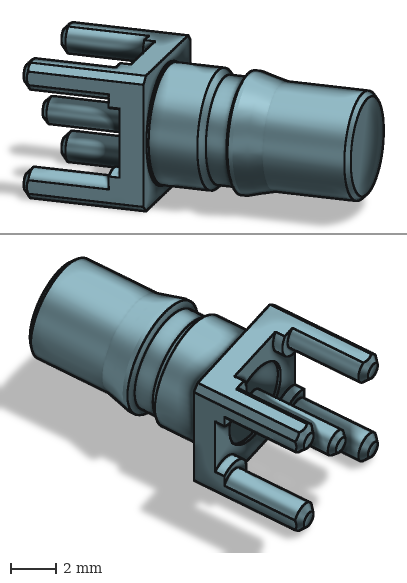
import cadquery as cq

length = 15.06
flange_side = 6.35
corner_chamfer = 0.32
pad_start = 4.07
flange_start = 4.56
flange_end = 5.7

leg_offset = 2.55
leg_diameter = 1.42
leg_tip_diameter = 0.78
leg_tip_length = 0.3
pad_diameter = 2.25
centre_pin_diameter = 1.27
centre_pin_tip_diameter = 0.77
centre_pin_tip_length = 0.27

recess_diameter = 4.07
recess_depth = 0.15

flare_diameter = 5.57
flare_length = 0.09
shoulder_diameter = 5.48
shoulder_end = 8.05
neck_diameter = 4.92
neck_start = 8.36
neck_end = 9.32
ridge_diameter = 5.57
ridge_crest_start = 9.49
ridge_crest_end = 9.73
ridge_end = 11.02
end_chamfer = 0.23


def cylinder_x(diameter, start, end, y=0, z=0):
    """Cylinder parallel to X between two X positions."""
    return (
        cq.Workplane("YZ", origin=(start, y, z))
        .circle(diameter / 2)
        .extrude(end - start)
    )


def pin(diameter, tip_diameter, tip_length, end, y=0, z=0):
    """Pin from X = 0 with a conical tip."""
    profile = [
        (0, 0),
        (0, tip_diameter / 2),
        (tip_length, diameter / 2),
        (end, diameter / 2),
        (end, 0),
    ]
    return (
        cq.Workplane("XY").polyline(profile).close()
        .revolve(360, (0, 0), (1, 0))
        .translate((0, y, z))
    )


def square_bar(start, end):
    """Square section with chamfered long edges."""
    return (
        cq.Workplane("YZ", origin=(start, 0, 0))
        .rect(flange_side, flange_side)
        .extrude(end - start)
        .edges("|X")
        .chamfer(corner_chamfer)
    )


def barrel():
    """Turned body from the flange to the mating end."""
    profile = [
        (flange_end, 0),
        (flange_end, flare_diameter / 2),
        (flange_end + flare_length, shoulder_diameter / 2),
        (shoulder_end, shoulder_diameter / 2),
        (neck_start, neck_diameter / 2),
        (neck_end, neck_diameter / 2),
        (ridge_crest_start, ridge_diameter / 2),
        (ridge_crest_end, ridge_diameter / 2),
        (ridge_end, neck_diameter / 2),
        (length - end_chamfer, neck_diameter / 2),
        (length, neck_diameter / 2 - end_chamfer),
        (length, 0),
    ]
    return cq.Workplane("XY").polyline(profile).close().revolve(360, (0, 0), (1, 0))


flange = square_bar(flange_start, flange_end)
envelope = square_bar(0, flange_end)
for y in (-leg_offset, leg_offset):
    for z in (-leg_offset, leg_offset):
        leg = pin(leg_diameter, leg_tip_diameter, leg_tip_length, flange_end, y, z)
        pad = cylinder_x(pad_diameter, pad_start, flange_end, y, z)
        flange = flange.union(leg.union(pad).intersect(envelope))

recess_floor = flange_start + recess_depth
flange = flange.cut(cylinder_x(recess_diameter, flange_start, recess_floor))

centre_pin = pin(centre_pin_diameter, centre_pin_tip_diameter, centre_pin_tip_length, flange_end)
result = flange.union(centre_pin).union(barrel())